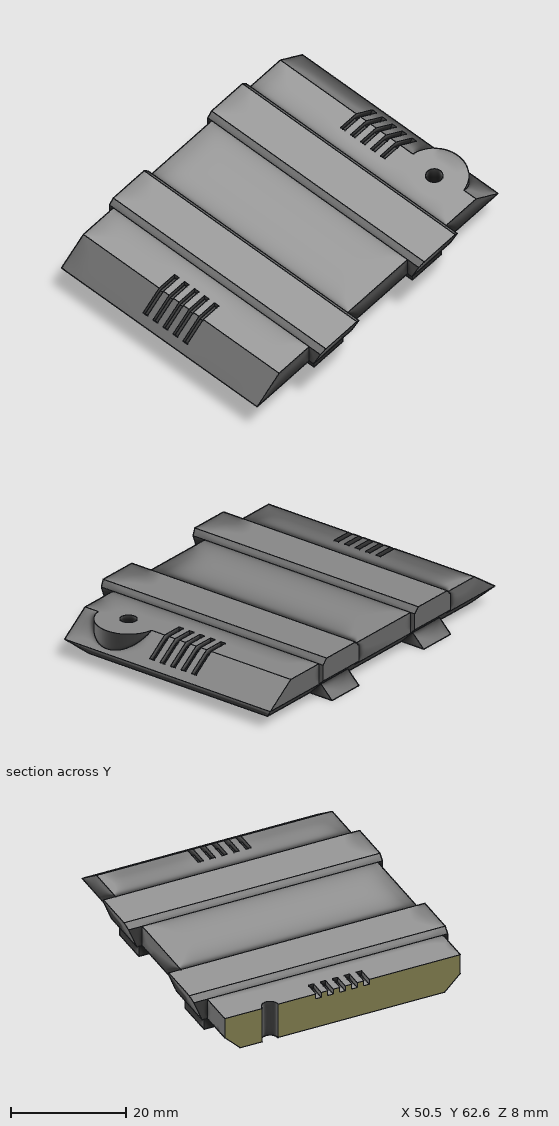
import cadquery as cq
import math

body_width = 45.5
body_length = 62.6
rim_height = 3.0
body_height = 7.0
end_slope_angle = 35.0

band_width = 10.0
band_height = 8.0
band_chamfer = band_height - body_height
band_offset = 12.8
band_left_overhang = 0.95
band_right_overhang_top = 3.0
band_right_overhang_bottom = 1.0

foot_width = 7.5
hook_overhang = 1.95
stop_thickness = 1.9

groove_count = 5
groove_width = 1.0
groove_pitch = 2.3
groove_depth = 1.0
groove_flat_length = 4.0
groove_slope_length = 5.15

boss_x = 13.95
boss_y = 24.55
boss_radius = 6.0
hole_diameter = 3.0

half_width = body_width / 2
half_length = body_length / 2
slope = math.radians(end_slope_angle)
crease_y = half_length - (body_height - rim_height) / math.tan(slope)


def extrude_along_y(points, width, center_y):
    """Prism with an XZ outline, centred on center_y."""
    plane = cq.Workplane("XZ", origin=(0, center_y, 0))
    return plane.polyline(points).close().extrude(width / 2, both=True)


def extrude_along_x(points, width, center_x):
    """Prism with a YZ outline, centred on center_x."""
    plane = cq.Workplane("YZ", origin=(center_x, 0, 0))
    return plane.polyline(points).close().extrude(width / 2, both=True)


def make_body():
    undercut = (
        cq.Workplane("XY")
        .workplane(offset=rim_height)
        .rect(body_width, body_length)
        .workplane(offset=-rim_height)
        .rect(body_width - 2 * rim_height, body_length - 2 * rim_height)
        .loft(ruled=True)
    )
    upper_outline = [
        (-half_length, rim_height),
        (half_length, rim_height),
        (crease_y, body_height),
        (-crease_y, body_height),
    ]
    return undercut.union(extrude_along_x(upper_outline, body_width, 0))


def make_band(center_y):
    left = -half_width - band_left_overhang
    outline = [
        (-half_width, rim_height),
        (half_width + band_right_overhang_bottom, rim_height),
        (half_width + band_right_overhang_top, band_height),
        (left, band_height),
        (left, rim_height + band_left_overhang),
    ]
    band = extrude_along_y(outline, band_width, center_y)

    half_base = band_width / 2
    half_top = half_base - band_chamfer
    section = [
        (center_y - half_base, 0),
        (center_y + half_base, 0),
        (center_y + half_base, body_height),
        (center_y + half_top, band_height),
        (center_y - half_top, band_height),
        (center_y - half_base, body_height),
    ]
    section_length = body_width + 2 * band_right_overhang_top
    return band.intersect(extrude_along_x(section, section_length, 0))


def make_hook(center_y):
    """Triangular foot whose sloped outer face ends in a tip on the underside."""
    tip_x = -half_width - hook_overhang
    base_x = -half_width + rim_height
    peak_height = (base_x - tip_x) / 2
    outline = [(tip_x, 0), (base_x, 0), (base_x - peak_height, peak_height)]
    return extrude_along_y(outline, foot_width, center_y)


def make_stop(center_y):
    """Upright foot flush with the right side."""
    inner_x = half_width - stop_thickness
    outline = [(inner_x, 0), (half_width, 0), (half_width, rim_height), (inner_x, rim_height)]
    return extrude_along_y(outline, foot_width, center_y)


def make_groove(center_x, end):
    """Cutter of even depth bent over the crease; end is +1 or -1 for the end in Y."""
    flat_end = crease_y - groove_flat_length
    floor_crease = crease_y - groove_depth * math.tan(slope / 2)
    slope_end_y = crease_y + groove_slope_length * math.cos(slope)
    slope_end_z = body_height - groove_slope_length * math.sin(slope)
    floor_end_y = slope_end_y - groove_depth * math.sin(slope)
    floor_end_z = slope_end_z - groove_depth * math.cos(slope)
    outline = [
        (end * flat_end, body_height),
        (end * crease_y, body_height),
        (end * slope_end_y, slope_end_z),
        (end * floor_end_y, floor_end_z),
        (end * floor_crease, body_height - groove_depth),
        (end * flat_end, body_height - groove_depth),
    ]
    return extrude_along_x(outline, groove_width, center_x)


def make_boss():
    plane = cq.Workplane("XY", origin=(boss_x, boss_y, rim_height))
    return plane.circle(boss_radius).extrude(body_height - rim_height)


def make_screw_hole():
    plane = cq.Workplane("XY", origin=(boss_x, boss_y, 0))
    return plane.circle(hole_diameter / 2).extrude(body_height)


result = make_body().union(make_boss())

for band_y in (-band_offset, band_offset):
    result = result.union(make_band(band_y))
    result = result.union(make_hook(band_y))
    result = result.union(make_stop(band_y))

for index in range(groove_count):
    groove_x = (index - (groove_count - 1) / 2) * groove_pitch
    for end in (-1, 1):
        result = result.cut(make_groove(groove_x, end))

result = result.cut(make_screw_hole())